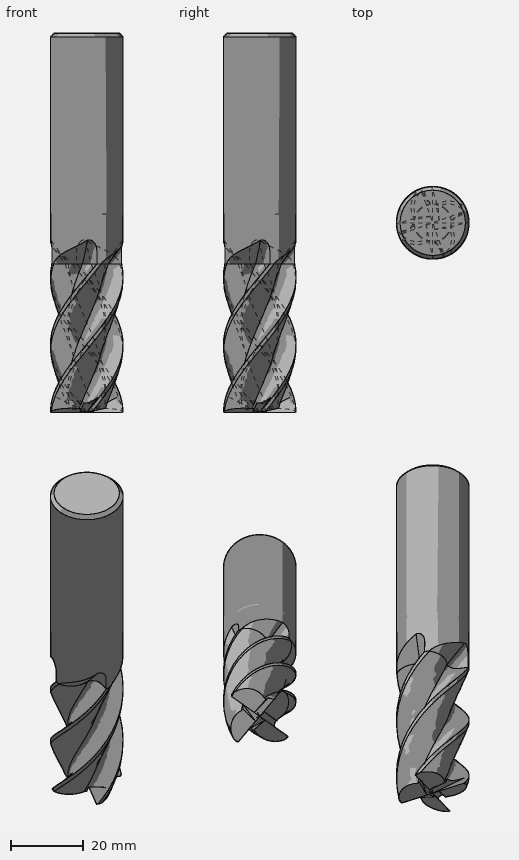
import cadquery as cq
import math

total_length = 104.0
tool_diameter = 20.0
cutter_length = 40.8
flute_count = 4
helix_angle = 40.0

land_angle = 7.5
land_drop = 0.1
relief_crest = (6.8, 4.2)
heel_radius = 5.2
heel_angle = 61.0
rake_root_radius = 7.4

end_relief_slope = 0.23
corner_chamfer = 0.3
gash_height = 4.2
gash_width = 1.9
gash_back_top = 0.2
gash_root_slope = 0.5
gash_rake_radius = 8.5

neck_step = 0.05
shank_start = 54.6
neck_taper_height = 0.5
shank_chamfer = 1.0
runout_height = 6.0
runout_depth = 4.7
runout_overshoot = 2

tool_radius = tool_diameter / 2
neck_radius = tool_radius - neck_step
pitch_angle = 360 / flute_count
lead = math.pi * tool_diameter / math.tan(math.radians(helix_angle))
cutter_twist = 360 * cutter_length / lead
gash_rake_slope = 2 * math.pi * gash_rake_radius / lead
clear_radius = 2 * tool_radius


def polar(radius, angle):
    return (radius * math.cos(math.radians(angle)), radius * math.sin(math.radians(angle)))


def turned(point, angle):
    """Rotate a point in the XY plane about the tool axis."""
    return polar(math.hypot(*point), math.degrees(math.atan2(point[1], point[0])) + angle)


cutting_edge = polar(tool_radius, 0)
land_middle = polar(tool_radius - land_drop / 2, land_angle / 2)
land_end = polar(tool_radius - land_drop, land_angle)
heel = polar(heel_radius, heel_angle)
rake_root = polar(rake_root_radius, pitch_angle)
next_cutting_edge = polar(tool_radius, pitch_angle)


def flute_floor_middle():
    """Middle of the flute floor arc, which meets the rake face tangentially at its root."""
    rise = rake_root[1] - heel[1]
    floor_radius = (heel[0] ** 2 + rise ** 2) / (2 * heel[0])
    half_sweep = math.atan2(rise, floor_radius - heel[0]) / 2
    return (
        floor_radius * (1 - math.cos(half_sweep)),
        rake_root[1] - floor_radius * math.sin(half_sweep),
    )


def around_axis(solid):
    """One copy of a cutting tool for each flute."""
    return [solid.rotate((0, 0, 0), (0, 0, 1), i * pitch_angle) for i in range(flute_count)]


def fluted_bar():
    """Twisted bar with four teeth."""
    floor_middle = flute_floor_middle()
    outline = cq.Workplane("XY").moveTo(*cutting_edge)
    for i in range(flute_count):
        angle = i * pitch_angle
        outline = outline.threePointArc(turned(land_middle, angle), turned(land_end, angle))
        outline = outline.threePointArc(turned(relief_crest, angle), turned(heel, angle))
        outline = outline.threePointArc(turned(floor_middle, angle), turned(rake_root, angle))
        if i < flute_count - 1:
            outline = outline.lineTo(*turned(next_cutting_edge, angle))
    return outline.close().twistExtrude(cutter_length, cutter_twist)


def end_relief():
    """Wedge under one tooth that lifts its end face behind the cutting edge."""
    return (
        cq.Workplane("YZ")
        .polyline([(0, 0), (clear_radius, 0), (clear_radius, clear_radius * end_relief_slope)])
        .close()
        .extrude(clear_radius)
    )


def end_gash():
    """Notch ahead of one end cutting edge, with a root that rises outwards from the centre."""
    rake_top = gash_height * gash_rake_slope
    notch = (
        cq.Workplane("YZ")
        .polyline([(0, 0), (rake_top, gash_height), (-gash_back_top, gash_height), (-gash_width, 0)])
        .close()
        .extrude(clear_radius)
    )
    below_root = (
        cq.Workplane("XZ")
        .polyline([(0, 0), (clear_radius, 0), (clear_radius, clear_radius * gash_root_slope)])
        .close()
        .extrude(clear_radius, both=True)
    )
    return notch.intersect(below_root)


def chamfered_envelope():
    """Full-diameter cylinder that bevels the outer corner of every tooth."""
    return (
        cq.Workplane("XY")
        .circle(tool_radius)
        .extrude(cutter_length)
        .faces("<Z")
        .chamfer(corner_chamfer)
    )


def make_cutter():
    cutter = fluted_bar().intersect(chamfered_envelope())
    for cut in around_axis(end_relief()) + around_axis(end_gash()):
        cutter = cutter.cut(cut)
    return cutter


def flute_runout():
    """Flute section carried up and outwards, so that it fades out on the neck."""
    lift = cq.Vector(0, runout_depth, runout_height) * runout_overshoot
    section = (
        cq.Workplane("XY")
        .moveTo(*land_end)
        .threePointArc(relief_crest, heel)
        .threePointArc(flute_floor_middle(), rake_root)
        .lineTo(0, clear_radius)
        .lineTo(clear_radius, clear_radius)
        .lineTo(clear_radius, land_end[1])
        .close()
    )
    runout = cq.Solid.extrudeLinear(section.val(), [], lift)
    return (
        cq.Workplane(runout)
        .rotate((0, 0, 0), (0, 0, 1), cutter_twist)
        .translate((0, 0, cutter_length))
    )


def make_shank():
    shank = (
        cq.Workplane("XZ")
        .polyline([
            (0, cutter_length),
            (neck_radius, cutter_length),
            (neck_radius, shank_start - neck_taper_height),
            (tool_radius, shank_start),
            (tool_radius, total_length - shank_chamfer),
            (tool_radius - shank_chamfer, total_length),
            (0, total_length),
        ])
        .close()
        .revolve(360, (0, 0, 0), (0, 1, 0))
    )
    for cut in around_axis(flute_runout()):
        shank = shank.cut(cut)
    return shank


cutter = make_cutter()
shank = make_shank()

result = cq.Compound.makeCompound([cutter.val(), shank.val()])